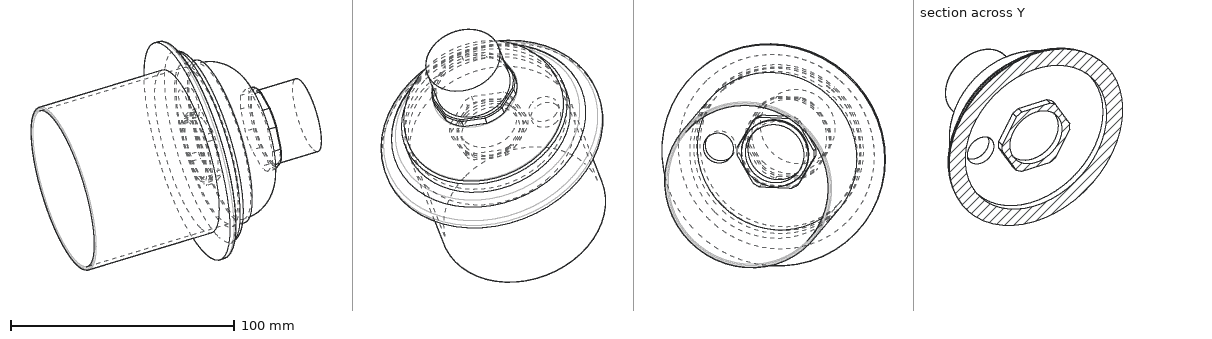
import cadquery as cq
import math


barrel_radius = 76.2 / 2
bore_radius = 72.9 / 2
barrel_length = 76.0
rim_fillet = 0.5

flange_radius = 101.6 / 2
flange_back = 60.0
flange_height = 9.7
flange_top = flange_back + flange_height
flange_edge_height = 1.9
flange_edge_round = 1.5
cove_radius = 6.1
shoulder_radius = 44.6
shoulder_drop = 2.2

dome_height = 17.7
dome_top = barrel_length + dome_height
dome_round = 17.0
cap_floor = flange_top

overall_length = 118.1
stub_radius = 34.1 / 2
outer_nut_flats = 36.7
outer_nut_corner_radius = 19.1
outer_nut_height = 4.5
outer_nut_chamfer = 0.6

inner_nut_flats = 32.0
inner_nut_corner_radius = 17.6
inner_nut_height = 4.5
tube_radius = 30.5 / 2
tube_bore_radius = 26.7 / 2
tube_projection = 1.8
tube_bore_depth = tube_projection + inner_nut_height

side_hole_radius = 13.7 / 2
side_hole_x = -26.8
side_hole_depth = 4.5


def disc(radius, y_start, y_end):
    """Cylinder on the Y axis between two Y positions."""
    return cq.Workplane("XZ", origin=(0, y_start, 0)).circle(radius).extrude(y_start - y_end)


def rounded_nut(across_flats, corner_radius, y_start, height):
    """Hexagon with flats facing +Z and -Z, its corners turned down to a radius."""
    across_corners = across_flats / math.cos(math.pi / 6)
    hexagon = cq.Workplane("XZ", origin=(0, y_start, 0)).polygon(6, across_corners).extrude(-height)
    return hexagon.intersect(disc(corner_radius, y_start, y_start + height))


def make_barrel():
    sleeve = disc(barrel_radius, 0, barrel_length).cut(disc(bore_radius, 0, barrel_length))
    return sleeve.faces("<Y").edges().fillet(rim_fillet)


def make_flange():
    edge_top = flange_back + flange_edge_height
    lip_radius = flange_radius - flange_edge_round
    lip_top = edge_top + flange_edge_round
    shoulder_base = flange_top - shoulder_drop
    profile = (
        cq.Workplane("XY")
        .moveTo(bore_radius, flange_back)
        .lineTo(flange_radius, flange_back)
        .lineTo(flange_radius, edge_top)
        .radiusArc((lip_radius, lip_top), -flange_edge_round)
        .radiusArc((shoulder_radius, shoulder_base), cove_radius)
        .radiusArc((shoulder_radius - shoulder_drop, flange_top), -shoulder_drop)
        .lineTo(bore_radius, flange_top)
        .close()
    )
    ring = profile.revolve(360, (0, 0, 0), (0, 1, 0))
    return ring.cut(disc((barrel_radius + bore_radius) / 2, flange_back, flange_top))


def make_cap():
    return disc(bore_radius, cap_floor, dome_top).edges(">Y").fillet(dome_round)


def make_outer_nut():
    nut = rounded_nut(outer_nut_flats, outer_nut_corner_radius, dome_top, outer_nut_height)
    return nut.faces(">Y").chamfer(outer_nut_chamfer)


def make_inner_fitting():
    nut_end = cap_floor - inner_nut_height
    nut = rounded_nut(inner_nut_flats, inner_nut_corner_radius, nut_end, inner_nut_height)
    tube_end = nut_end - tube_projection
    tube_bore = disc(tube_bore_radius, tube_end, tube_end + tube_bore_depth)
    return nut.union(disc(tube_radius, tube_end, cap_floor)).cut(tube_bore)


stub = disc(stub_radius, dome_top, overall_length)
side_hole = disc(side_hole_radius, cap_floor, cap_floor + side_hole_depth).translate((side_hole_x, 0, 0))

result = (
    make_barrel()
    .union(make_flange())
    .union(make_cap())
    .union(make_outer_nut())
    .union(stub)
    .union(make_inner_fitting())
    .cut(side_hole)
)